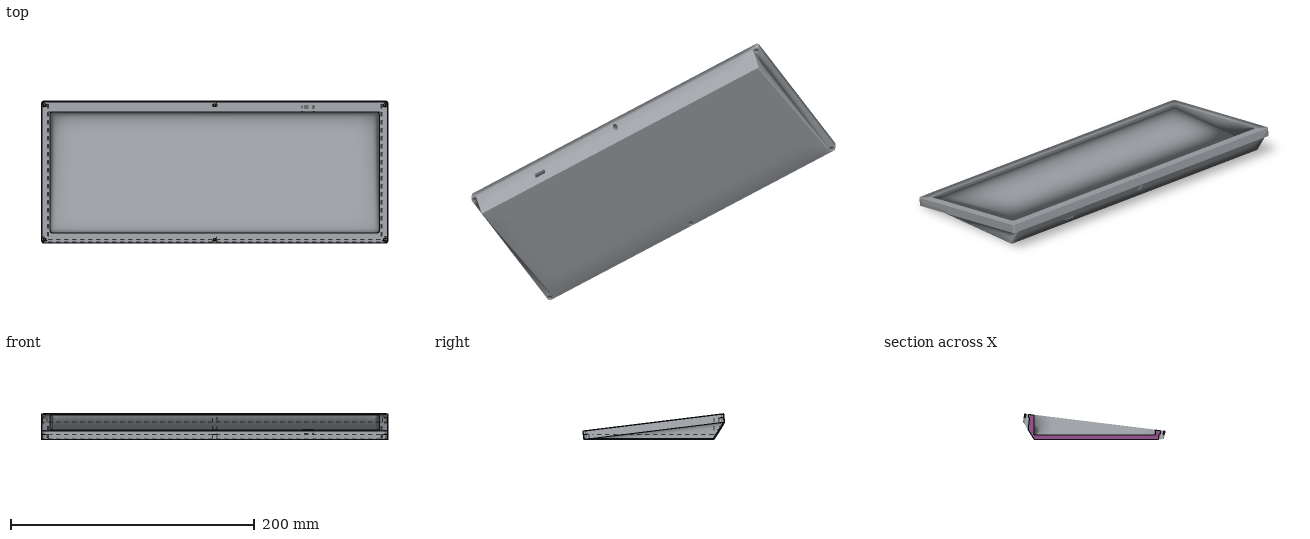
import cadquery as cq
import math

TILT = 7.0
PLATE_WIDTH = 283.79
PLATE_LENGTH = 116.33
PLATE_THICKNESS = 7.0
CORNER_RADIUS = 2.0

BASE_SIDE_INSET = 4.8
BASE_FRONT_INSET = 2.5
BACK_FACE_RUN = 8.8
BASE_EDGE_CHAMFER = 0.8

SIDE_RIM = 7.0
FRONT_RIM = 8.4
BACK_RIM = 8.0
FLOOR_HEIGHT = 4.0
CAVITY_RADIUS = 2.0

SCREW_DIAMETER = 2.0
SCREW_EDGE_DISTANCE = 2.5
HEAD_DIAMETER = 4.0
HEAD_SEAT_DEPTH = 3.0

PORT_CENTER_X = 76.4
PORT_WIDTH = 10.0
PORT_HEIGHT = 3.0
PORT_SILL = 1.0
PORT_CORNER_RADIUS = 1.0

SIN_TILT = math.sin(math.radians(TILT))
COS_TILT = math.cos(math.radians(TILT))


def on_plate(along, above):
    """(Y, Z) of a point given along the plate from its front bottom edge and above its underside."""
    return (along * COS_TILT - above * SIN_TILT, along * SIN_TILT + above * COS_TILT)


def tilted(body):
    """Turn a body laid out on the level plate about the plate's front bottom edge."""
    return body.rotate((0, 0, 0), (1, 0, 0), TILT)


def make_plate():
    plate = cq.Workplane("XY").box(PLATE_WIDTH, PLATE_LENGTH, PLATE_THICKNESS, centered=(True, False, False))
    return tilted(plate.edges("|Z").fillet(CORNER_RADIUS))


def make_base():
    """Level-bottomed wedge whose back face slopes in from the plate's back bottom edge."""
    middle = PLATE_THICKNESS / 2
    front_y, front_z = on_plate(BASE_FRONT_INSET, middle)
    back_y, back_z = on_plate(PLATE_LENGTH, 0)
    foot_y = back_y - BACK_FACE_RUN
    outline = [
        (front_y, 0),
        (foot_y, 0),
        (back_y, back_z),
        on_plate(PLATE_LENGTH, middle),
        (front_y, front_z),
    ]
    half_width = PLATE_WIDTH / 2 - BASE_SIDE_INSET
    base = cq.Workplane("YZ").polyline(outline).close().extrude(half_width, both=True)

    side_edges = base.faces("<Z").edges("|Y")
    for x in (-half_width, half_width):
        slope_middle = (x, (foot_y + back_y) / 2, back_z / 2)
        side_edges = side_edges.add(base.edges(cq.selectors.NearestToPointSelector(slope_middle)))
    return side_edges.chamfer(BASE_EDGE_CHAMFER)


def make_cavity():
    width = PLATE_WIDTH - 2 * SIDE_RIM
    front_y, _ = on_plate(FRONT_RIM, PLATE_THICKNESS)
    back_y, height = on_plate(PLATE_LENGTH - BACK_RIM, PLATE_THICKNESS)
    cavity = cq.Workplane("XY").box(width, back_y - front_y, height, centered=(True, False, False))
    return cavity.edges("|Z").fillet(CAVITY_RADIUS).translate((0, front_y, FLOOR_HEIGHT))


def make_screw_holes():
    """Six stepped holes, at the corners and the middles of the long sides."""
    side_x = PLATE_WIDTH / 2 - SCREW_EDGE_DISTANCE
    rows = (SCREW_EDGE_DISTANCE, PLATE_LENGTH - SCREW_EDGE_DISTANCE)
    points = [(x, y) for x in (-side_x, 0, side_x) for y in rows]
    layout = cq.Workplane("XY").pushPoints(points)
    shanks = layout.circle(SCREW_DIAMETER / 2).extrude(PLATE_THICKNESS)
    heads = layout.circle(HEAD_DIAMETER / 2).extrude(-PLATE_LENGTH)
    heads = heads.translate((0, 0, PLATE_THICKNESS - HEAD_SEAT_DEPTH))
    return tilted(shanks.union(heads))


def make_port():
    start_y = PLATE_LENGTH / 2
    port = cq.Workplane("XY").box(PORT_WIDTH, PLATE_LENGTH, PORT_HEIGHT, centered=(True, False, False))
    port = port.edges("|Y").fillet(PORT_CORNER_RADIUS)
    return port.translate((PORT_CENTER_X, start_y, FLOOR_HEIGHT + PORT_SILL))


case = make_plate().union(make_base())
result = case.cut(make_cavity()).cut(make_screw_holes()).cut(make_port())